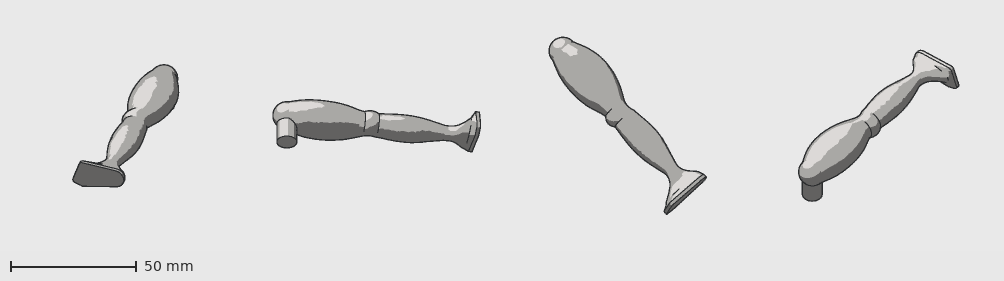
import cadquery as cq

length = 81.5
axis_height = 12.95

dome_radius = 5.55
dome_y = length - dome_radius
dome_x = -0.2
pin_diameter = 8.0
pin_y = 75.9

collar_back_y = 45.1
collar_front_y = 39.45
neck_y = 12.4

plate_thickness = 1.5
plate_corner_radius = 1.5
lobe_radius = 3.75
lobe_x = 4.6
lobe_z = 13.2
lobe_top_offset = 0.3
lobe_bottom_offset = 0.65
plate_top_left = (-10.1, 18.0)
plate_low_left = (-13.45, 8.4)
plate_bottom = (-8.8, 6.8)
lobe_top = (lobe_x + lobe_top_offset, lobe_z + lobe_radius)
lobe_bottom = (lobe_x + lobe_bottom_offset, lobe_z - lobe_radius)

dome_section = (dome_y, dome_x, dome_radius, dome_radius)
collar_back = (collar_back_y, -0.2, 5.0, 5.0)
collar_front = (collar_front_y, -0.2, 5.05, 4.6)
neck = (neck_y, 0.0, 3.06, 3.0)
flare_end = (3.3, -1.3, 9.0, 3.8)

grip_sections = [
    dome_section,
    (70.9, 0.12, 7.6, 6.6),
    (66.0, 0.3, 8.8, 7.0),
    (61.1, 0.4, 9.1, 7.0),
    (55.8, 0.3, 8.6, 6.8),
    (50.5, 0.25, 7.2, 6.0),
    collar_back,
]
collar_sections = [
    collar_back,
    (42.4, -1.1, 5.3, 4.9),
    collar_front,
]
shank_sections = [
    collar_front,
    (35.05, -0.1, 5.55, 4.9),
    (29.3, 0.0, 6.0, 5.1),
    (24.05, 0.0, 5.8, 4.9),
    (17.9, -0.1, 4.6, 3.9),
    neck,
]
flare_sections = [
    neck,
    (9.1, -0.1, 3.35, 2.975),
    (6.35, -0.25, 5.4, 3.06),
    (4.8, -0.6, 7.25, 3.35),
    flare_end,
]


def ellipse_wire(section):
    y, center_x, half_width, half_height = section
    plane = cq.Plane(origin=(center_x, y, axis_height), xDir=(1, 0, 0), normal=(0, -1, 0))
    return cq.Workplane(plane).ellipse(half_width, half_height).val()


def swell(sections):
    """Smooth body through a row of elliptical sections."""
    wires = [ellipse_wire(section) for section in sections]
    return cq.Workplane(cq.Solid.makeLoft(wires))


def foot_plate():
    """Flat plate with a slanted left side and a round right lobe."""
    plane = cq.Plane(origin=(0, plate_thickness, 0), xDir=(1, 0, 0), normal=(0, -1, 0))
    plate = (
        cq.Workplane(plane)
        .moveTo(*lobe_top)
        .threePointArc((lobe_x + lobe_radius, lobe_z), lobe_bottom)
        .lineTo(*plate_bottom)
        .lineTo(*plate_low_left)
        .lineTo(*plate_top_left)
        .close()
        .extrude(plate_thickness)
    )
    left_corners = plate.edges("|Y").filter(lambda edge: edge.Center().x < 0)
    return left_corners.fillet(plate_corner_radius)


def foot_transition(plate):
    """Skin from the end of the flare to the edge of the plate."""
    plate_wire = plate.faces(">Y").wires().val()
    return cq.Workplane(cq.Solid.makeLoft([ellipse_wire(flare_end), plate_wire], True))


def pin():
    return cq.Workplane("XY").center(0, pin_y).circle(pin_diameter / 2).extrude(axis_height)


dome = cq.Workplane("XY").sphere(dome_radius).translate((dome_x, dome_y, axis_height))
plate = foot_plate()
result = plate.union(foot_transition(plate))
for sections in (flare_sections, shank_sections, collar_sections, grip_sections):
    result = result.union(swell(sections))
result = result.union(dome).union(pin())